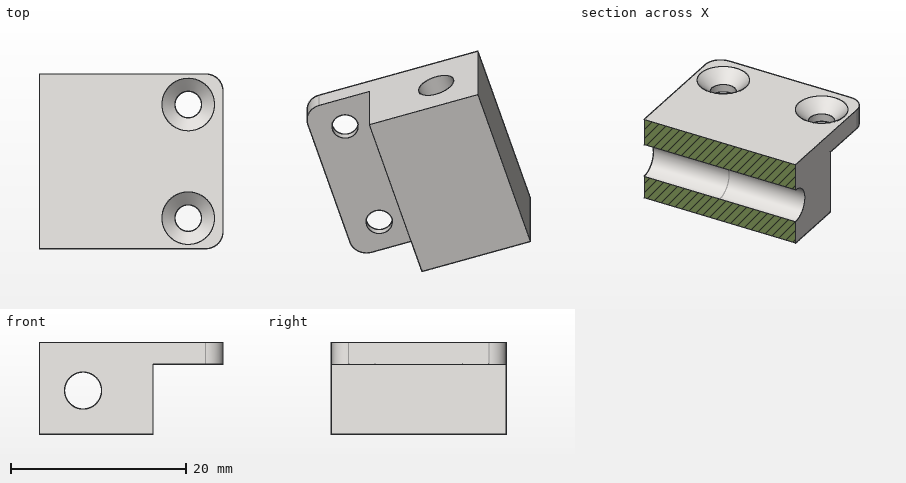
import cadquery as cq

length = 21.0
width = 20.0
height = 10.5

body_length = 13.0
flange_thickness = 2.5
corner_radius = 2.0

cross_hole_diameter = 4.2
cross_hole_x = 5.0
cross_hole_z = 5.0

screw_hole_diameter = 3.0
countersink_diameter = 6.0
countersink_angle = 90.0
screw_hole_x = 17.0
screw_edge_distance = 3.5
screw_spacing = width - 2 * screw_edge_distance


def make_flange():
    """Top plate over the full length, rounded at its two free corners."""
    plate = cq.Workplane("XY").box(length, width, flange_thickness, centered=(False, True, False))
    return plate.edges("|Z and >X").fillet(corner_radius).translate((0, 0, height - flange_thickness))


def make_body():
    """Full-height block at the -X end."""
    return cq.Workplane("XY").box(body_length, width, height, centered=(False, True, False))


def make_cross_hole():
    """Cutter for the round hole running through the body along Y."""
    return (
        cq.Workplane("XZ")
        .center(cross_hole_x, cross_hole_z)
        .circle(cross_hole_diameter / 2)
        .extrude(width, both=True)
    )


bracket = make_body().union(make_flange()).cut(make_cross_hole())

result = (
    bracket.faces(">Z")
    .workplane(origin=(screw_hole_x, 0, height))
    .pushPoints([(0, -screw_spacing / 2), (0, screw_spacing / 2)])
    .cskHole(screw_hole_diameter, countersink_diameter, countersink_angle)
)